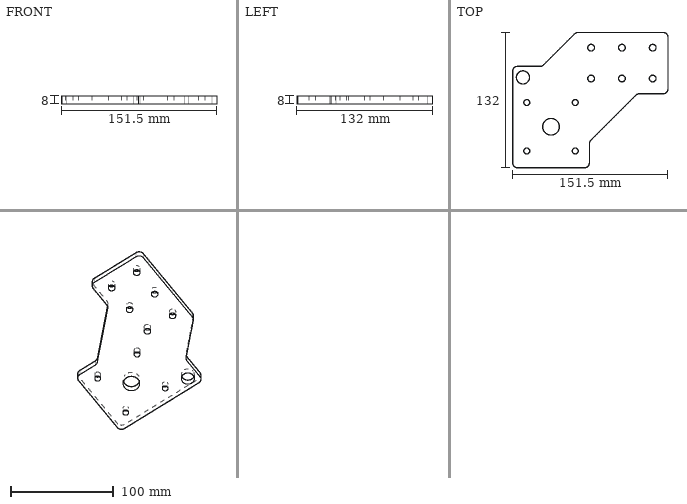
import cadquery as cq

length = 151.5
width = 132.0
thickness = 8.0
corner_radius = 5.0

lower_pad_length = 75.0
lower_pad_width = 99.0
upper_pad_width = 60.0
upper_pad_bottom = width - upper_pad_width

upper_edge_start = 29.0
upper_edge_rise = width - lower_pad_width
lower_edge_end = 121.4
lower_edge_rise = lower_edge_end - lower_pad_length

bore_diameter = 16.0
bore_x = lower_pad_length / 2
bore_y = 40.0
motor_hole_diameter = 5.6
motor_hole_pitch = 47.1

corner_hole_diameter = 12.5
corner_hole_x = 10.2
corner_hole_y = 88.0

grid_hole_diameter = 6.4
grid_pitch = 30.0
grid_columns = 3
grid_rows = 2
grid_edge_margin = grid_pitch / 2
grid_center_x = length - grid_edge_margin - grid_pitch * (grid_columns - 1) / 2
grid_center_y = width - grid_edge_margin - grid_pitch * (grid_rows - 1) / 2


def make_plate():
    """Plate outline with every corner rounded."""
    outline = [
        (0, 0),
        (lower_pad_length, 0),
        (lower_pad_length, upper_pad_bottom - lower_edge_rise),
        (lower_edge_end, upper_pad_bottom),
        (length, upper_pad_bottom),
        (length, width),
        (upper_edge_start + upper_edge_rise, width),
        (upper_edge_start, lower_pad_width),
        (0, lower_pad_width),
    ]
    plate = cq.Workplane("XY").polyline(outline).close().extrude(thickness)
    return plate.edges("|Z").fillet(corner_radius)


def make_pins(x, y, diameter, pitch=1.5, columns=1, rows=1):
    """Cutting cylinders on a rectangular grid centered at (x, y)."""
    return (
        cq.Workplane("XY")
        .center(x, y)
        .rarray(pitch, pitch, columns, rows)
        .circle(diameter / 2)
        .extrude(thickness)
    )


result = (
    make_plate()
    .cut(make_pins(bore_x, bore_y, bore_diameter))
    .cut(make_pins(bore_x, bore_y, motor_hole_diameter, motor_hole_pitch, 2, 2))
    .cut(make_pins(corner_hole_x, corner_hole_y, corner_hole_diameter))
    .cut(make_pins(grid_center_x, grid_center_y, grid_hole_diameter, grid_pitch, grid_columns, grid_rows))
)